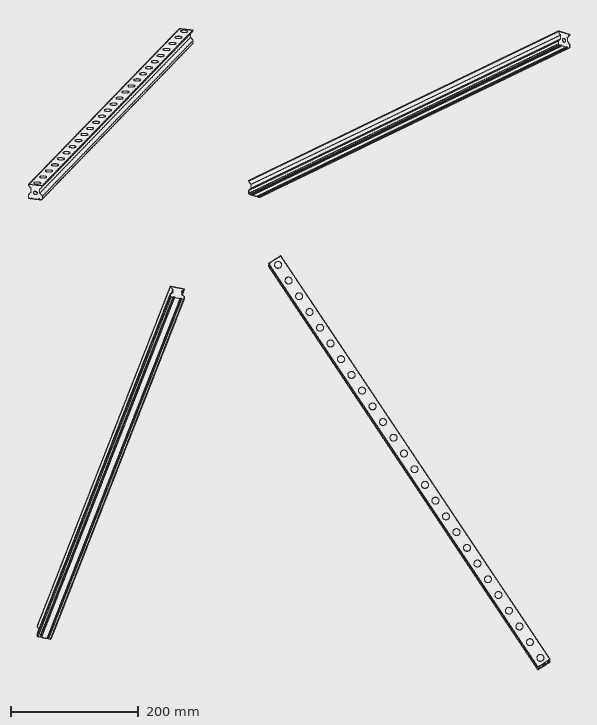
import cadquery as cq

LENGTH = 770.0
WIDTH = 23.0
HEIGHT = 23.6
HALF_WIDTH = WIDTH / 2

FOOT_CHAMFER = 1.5
HEAD_CHAMFER = 0.4
WAIST_HALF_WIDTH = 7.25
WAIST_BOTTOM_Z = 11.0
WAIST_TOP_Z = 17.6
FLANK_RUN = 2.6
SHOULDER_RISE = 2.1

GROOVE_OFFSET = 5.8
GROOVE_WIDTH = 2.8
GROOVE_DEPTH = GROOVE_WIDTH / 2

RECESS_DIAMETER = 11.0
RECESS_DEPTH = 0.1
RECESS_COUNT = 26
RECESS_PITCH = 30.0

END_HOLE_DIAMETER = 6.0
END_HOLE_DEPTH = 10.0
END_HOLE_Z = 10.6


def rail_body():
    """Waisted profile, symmetrical about X = 0 and resting on Z = 0, extruded along Y about Y = 0."""
    shoulder_half_width = WAIST_HALF_WIDTH + FLANK_RUN
    foot_shoulder_z = WAIST_BOTTOM_Z - FLANK_RUN
    head_shoulder_z = WAIST_TOP_Z + FLANK_RUN
    right_side = [
        (HALF_WIDTH - FOOT_CHAMFER, 0),
        (HALF_WIDTH, FOOT_CHAMFER),
        (HALF_WIDTH, foot_shoulder_z - SHOULDER_RISE),
        (shoulder_half_width, foot_shoulder_z),
        (WAIST_HALF_WIDTH, WAIST_BOTTOM_Z),
        (WAIST_HALF_WIDTH, WAIST_TOP_Z),
        (shoulder_half_width, head_shoulder_z),
        (HALF_WIDTH, head_shoulder_z + SHOULDER_RISE),
        (HALF_WIDTH, HEIGHT - HEAD_CHAMFER),
        (HALF_WIDTH - HEAD_CHAMFER, HEIGHT),
    ]
    left_side = [(-x, z) for x, z in reversed(right_side)]
    profile = cq.Workplane("XZ").polyline(right_side + left_side).close()
    return profile.extrude(LENGTH / 2, both=True)


def underside_groove(centre_x):
    """V groove running the full length of the foot."""
    return (
        cq.Workplane("XZ", origin=(centre_x, 0, 0))
        .moveTo(-GROOVE_WIDTH / 2, 0)
        .lineTo(0, GROOVE_DEPTH)
        .lineTo(GROOVE_WIDTH / 2, 0)
        .close()
        .extrude(LENGTH / 2, both=True)
    )


def top_recesses():
    """Evenly pitched round recesses, centred along the rail."""
    return (
        cq.Workplane("XY", origin=(0, 0, HEIGHT))
        .rarray(1, RECESS_PITCH, 1, RECESS_COUNT)
        .circle(RECESS_DIAMETER / 2)
        .extrude(-RECESS_DEPTH)
    )


def end_hole():
    """Blind hole entering the -Y end face."""
    return (
        cq.Workplane("XZ", origin=(0, -LENGTH / 2, END_HOLE_Z))
        .circle(END_HOLE_DIAMETER / 2)
        .extrude(-END_HOLE_DEPTH)
    )


result = rail_body().cut(top_recesses()).cut(end_hole())
for groove_x in (-GROOVE_OFFSET, GROOVE_OFFSET):
    result = result.cut(underside_groove(groove_x))